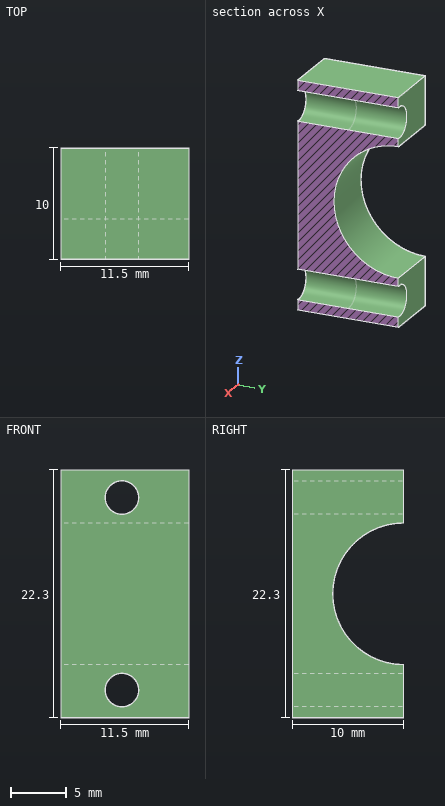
import cadquery as cq

width = 11.53
depth = 10.0
height = 22.3

saddle_radius = 6.35

hole_diameter = 3.0
hole_from_left = 5.49
hole_spacing = 17.31
hole_x = hole_from_left - width / 2

block = cq.Workplane("XY").box(width, depth, height)

saddle = (
    cq.Workplane("YZ")
    .center(depth / 2, 0)
    .circle(saddle_radius)
    .extrude(width / 2, both=True)
)

bolt_holes = (
    cq.Workplane("XZ")
    .pushPoints([(hole_x, -hole_spacing / 2), (hole_x, hole_spacing / 2)])
    .circle(hole_diameter / 2)
    .extrude(depth / 2, both=True)
)

result = block.cut(saddle).cut(bolt_holes)